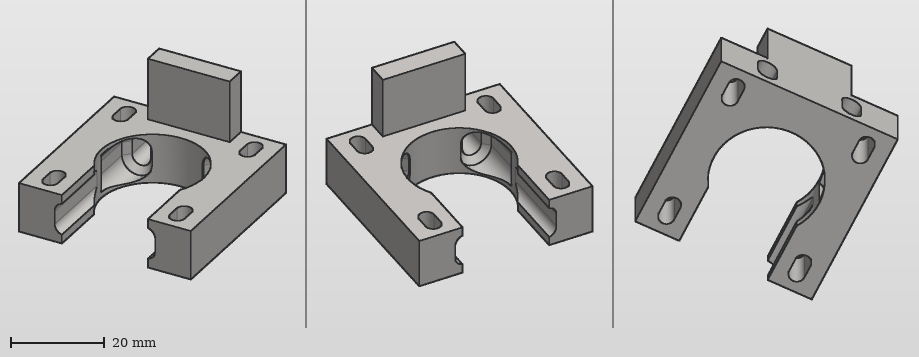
import cadquery as cq

plate_side = 42.0
plate_height = 12.0
bore_diameter = 25.0
mouth_width = 21.0

tab_width = 20.0
tab_thickness = 5.0
total_height = 27.0

mount_spacing = 31.0
mount_width = 3.6
mount_length = 6.6

passage_spacing = 20.0
passage_straight = 3.2
passage_radius = 2.25
pocket_radius = 3.85
pocket_front = 0.0
pocket_rear = 11.5
taper_length = pocket_radius - passage_radius


def passage_plane(y):
    """XZ work plane at the given Y, at mid-height of the plate, facing +Y."""
    return cq.Workplane(cq.Plane((0, y, plate_height / 2), xDir=(-1, 0, 0), normal=(0, 1, 0)))


def upright_slot(plane, x, radius):
    """Upright slot outline centred at local x."""
    return plane.center(x, 0).slot2D(passage_straight + 2 * radius, 2 * radius, 90)


def make_body():
    """Plate with its tab, bore and open mouth."""
    plate = cq.Workplane().box(plate_side, plate_side, plate_height, centered=(True, True, False))
    tab = (
        cq.Workplane()
        .center(0, (plate_side - tab_thickness) / 2)
        .box(tab_width, tab_thickness, total_height, centered=(True, True, False))
    )
    bore = cq.Workplane().circle(bore_diameter / 2).extrude(plate_height)
    mouth = (
        cq.Workplane()
        .center(0, -plate_side / 4)
        .rect(mouth_width, plate_side / 2)
        .extrude(plate_height)
    )
    return plate.cut(bore).cut(mouth).union(tab)


def make_mounting_slots():
    """Four vertical slots near the plate corners."""
    return (
        cq.Workplane()
        .rect(mount_spacing, mount_spacing, forConstruction=True)
        .vertices()
        .slot2D(mount_length, mount_width, 90)
        .extrude(plate_height)
    )


def make_passage(x):
    """Narrow full-length slot that widens to a pocket beside the bore."""
    narrow = upright_slot(passage_plane(-plate_side / 2), x, passage_radius).extrude(plate_side)
    pocket = upright_slot(passage_plane(pocket_front), x, pocket_radius).extrude(
        pocket_rear - pocket_front
    )
    taper = upright_slot(passage_plane(pocket_rear), x, pocket_radius).extrude(taper_length, taper=45)
    return narrow.union(pocket).union(taper)


result = make_body().cut(make_mounting_slots())
for side in (-1, 1):
    result = result.cut(make_passage(side * passage_spacing / 2))